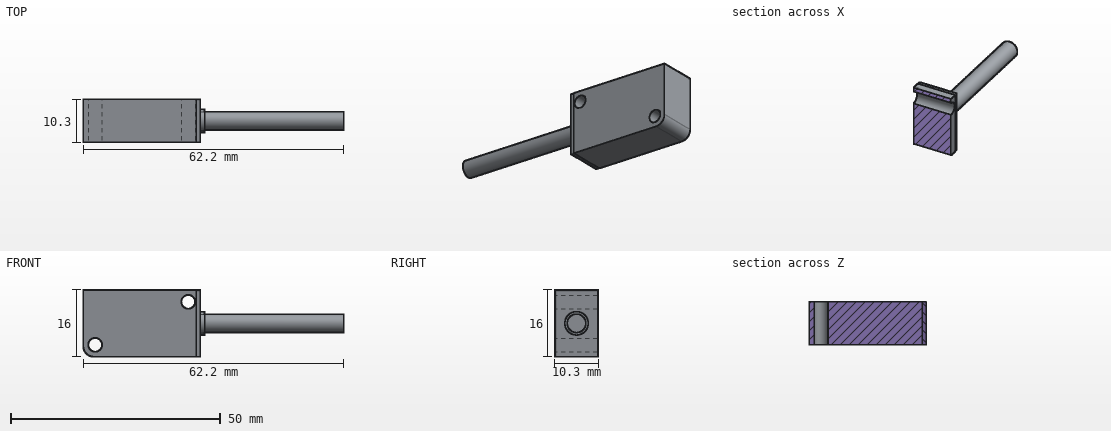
import cadquery as cq

TOTAL_LENGTH = 62.2
WIDTH = 10.3
HEIGHT = 16.0

HOUSING_LENGTH = 27.0
CORNER_RADIUS = 2.5
HOLE_DIAMETER = 3.25
HOLE_EDGE_DISTANCE = 2.85
REAR_HOLE_X = 25.05

PLATE_THICKNESS = 1.0
PLATE_EDGE_RADIUS = 0.2
COLLAR_LENGTH = 1.0
COLLAR_DIAMETER = 5.6

CABLE_DIAMETER = 4.4
CABLE_LENGTH = TOTAL_LENGTH - HOUSING_LENGTH


def cross_section_plane(x):
    """Plane facing +X at the given X, centred on the cable axis."""
    return cq.Workplane("YZ", origin=(x, 0, 0))


def make_housing():
    """Block with one rounded lower edge and two mounting holes through its width."""
    block = cross_section_plane(0).rect(WIDTH, HEIGHT).extrude(HOUSING_LENGTH)
    block = block.edges("(<X) and (<Z)").fillet(CORNER_RADIUS)
    hole_z = HEIGHT / 2 - HOLE_EDGE_DISTANCE
    hole_centres = [(HOLE_EDGE_DISTANCE, -hole_z), (REAR_HOLE_X, hole_z)]
    holes = (
        cq.Workplane("XZ", origin=(0, WIDTH / 2, 0))
        .pushPoints(hole_centres)
        .circle(HOLE_DIAMETER / 2)
        .extrude(WIDTH)
    )
    return block.cut(holes)


def make_cable():
    """Plain round cable running along +X."""
    return cross_section_plane(HOUSING_LENGTH).circle(CABLE_DIAMETER / 2).extrude(CABLE_LENGTH)


def make_end_cap():
    """Plate and collar in one piece, bored for the cable."""
    plate = cross_section_plane(HOUSING_LENGTH).rect(WIDTH, HEIGHT).extrude(PLATE_THICKNESS)
    plate = plate.edges("|X or >X").fillet(PLATE_EDGE_RADIUS)
    collar_start = HOUSING_LENGTH + PLATE_THICKNESS
    collar = cross_section_plane(collar_start).circle(COLLAR_DIAMETER / 2).extrude(COLLAR_LENGTH)
    bore_length = PLATE_THICKNESS + COLLAR_LENGTH
    bore = cross_section_plane(HOUSING_LENGTH).circle(CABLE_DIAMETER / 2).extrude(bore_length)
    return plate.union(collar).cut(bore)


housing = make_housing()
end_cap = make_end_cap()
cable = make_cable()

result = cq.Compound.makeCompound([housing.val(), end_cap.val(), cable.val()])